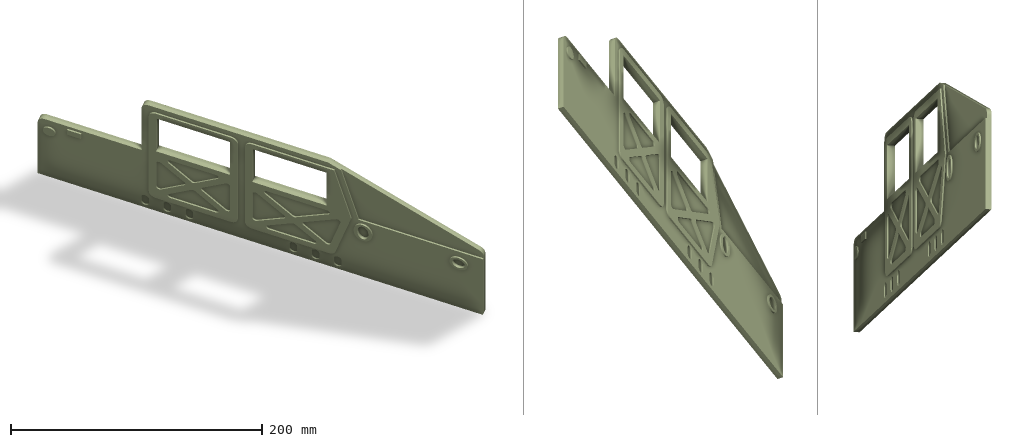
import cadquery as cq
import math

plate_thickness = 5.08
relief = 1.27
length = 381.0
roof_height = 139.7
deck_height = 76.2
cab_rear_x = 88.9
roof_front_x = 248.5
hood_front_height = 82.55
corner_radius = 6.35

door_margin = 6.35
door_bottom = 19.05
door_top = roof_height - door_margin
rear_door_left = 95.5
front_door_left = 177.8
window_width = 63.35
window_height = 44.45
door_knee_z = 75.2
door_knee_x = 268.7
front_door_right_x = 254.0
door_corner_radius = 6.35
brace_width = 6.35
pocket_corner_radius = 2.54

windshield_gap = 5.8

slot_width = 6.6
slot_height = 12.7
slot_center_z = 9.9
slot_pitch = 18.95
slots_per_group = 3
slot_group_starts = (91.85, 218.7)

tail_light_diameter = 10.6
tail_light_center = (10.1, 62.6)
marker_size = (11.8, 6.35)
marker_center = (31.4, 69.8)
headlight_center = (360.5, 60.6)
headlight_outer_diameter = 15.5
headlight_inner_diameter = 10.8
oval_center = (278.7, 61.0)
oval_outer_size = (15.875, 21.2)
oval_inner_size = (9.6, 16.5)
light_hole_depth = 2 * relief

floor_depth = plate_thickness - relief
total_thickness = plate_thickness + relief


def sketch_at(distance):
    """Sketch plane parallel to XZ, at a distance in front of the plate back."""
    return cq.Workplane("XZ", origin=(0, -distance, 0))


def near(x, z):
    """Selector for the edge along Y closest to (x, z)."""
    return cq.selectors.NearestToPointSelector((x, -plate_thickness / 2, z))


def make_plate():
    outline = [
        (0, 0),
        (length, 0),
        (length, hood_front_height),
        (roof_front_x, roof_height),
        (cab_rear_x, roof_height),
        (cab_rear_x, deck_height),
        (0, deck_height),
    ]
    plate = sketch_at(0).polyline(outline).close().extrude(plate_thickness)
    rounded_corners = [(length, hood_front_height), (cab_rear_x, roof_height), (0, deck_height)]
    for x, z in rounded_corners:
        plate = plate.edges("|Y").edges(near(x, z)).fillet(corner_radius)
    return plate


def make_hood_recess():
    lean = (door_knee_x - front_door_right_x) / (door_top - door_knee_z)
    knee_x = door_knee_x + windshield_gap
    top_x = knee_x - lean * (roof_height - door_knee_z)
    outline = [
        (knee_x, door_knee_z),
        (length, door_knee_z),
        (length, roof_height),
        (top_x, roof_height),
    ]
    return sketch_at(floor_depth).polyline(outline).close().extrude(relief)


def make_door(outline, rounded_corners):
    door = sketch_at(plate_thickness).polyline(outline).close().extrude(relief)
    for x, z in rounded_corners:
        door = door.edges("|Y").edges(near(x, z)).fillet(door_corner_radius)
    return door


def make_rear_door():
    right = rear_door_left + window_width + 2 * door_margin
    outline = [
        (rear_door_left, door_bottom),
        (right, door_bottom),
        (right, door_top),
        (rear_door_left, door_top),
    ]
    return make_door(outline, outline)


def make_front_door():
    bottom_left = (front_door_left, door_bottom)
    bottom_right = (front_door_right_x, door_bottom)
    top_left = (front_door_left, door_top)
    outline = [
        bottom_left,
        bottom_right,
        (door_knee_x, door_knee_z),
        (front_door_right_x, door_top),
        top_left,
    ]
    return make_door(outline, [bottom_left, bottom_right, top_left])


def make_window(door_left):
    center_x = door_left + door_margin + window_width / 2
    center_z = door_top - door_margin - window_height / 2
    window = sketch_at(0).center(center_x, center_z)
    return window.rect(window_width, window_height).extrude(total_thickness)


def make_brace_bar(start, end):
    run = end[0] - start[0]
    rise = end[1] - start[1]
    angle = math.degrees(math.atan2(rise, run))
    bar_length = 2 * math.hypot(run, rise)
    bar = sketch_at(plate_thickness).rect(bar_length, brace_width).extrude(relief)
    bar = bar.rotate((0, 0, 0), (0, -1, 0), angle)
    return bar.translate(((start[0] + end[0]) / 2, 0, (start[1] + end[1]) / 2))


def make_panel_pockets(bottom_left, bottom_right, top_right, top_left):
    """Four triangular pockets left between the bars of an X-shaped brace."""
    corners = [bottom_left, bottom_right, top_right, top_left]
    pockets = sketch_at(plate_thickness).polyline(corners).close().extrude(relief)
    pockets = pockets.cut(make_brace_bar(bottom_left, top_right))
    pockets = pockets.cut(make_brace_bar(top_left, bottom_right))
    return pockets.edges("|Y").fillet(pocket_corner_radius)


panel_bottom = door_bottom + door_margin
panel_top = door_top - 2 * door_margin - window_height


def make_rear_panel_pockets():
    left = rear_door_left + door_margin
    right = left + window_width
    return make_panel_pockets(
        (left, panel_bottom), (right, panel_bottom), (right, panel_top), (left, panel_top)
    )


def make_front_panel_pockets():
    """The right side runs parallel to the lower sloping edge of the door."""
    lean = (door_knee_x - front_door_right_x) / (door_knee_z - door_bottom)
    inset = door_margin * math.hypot(1, lean)

    def right_at(z):
        return front_door_right_x + lean * (z - door_bottom) - inset

    left = front_door_left + door_margin
    return make_panel_pockets(
        (left, panel_bottom),
        (right_at(panel_bottom), panel_bottom),
        (right_at(panel_top), panel_top),
        (left, panel_top),
    )


def make_sill_slots():
    centers = [
        (start + i * slot_pitch, slot_center_z)
        for start in slot_group_starts
        for i in range(slots_per_group)
    ]
    slots = sketch_at(floor_depth).pushPoints(centers)
    return slots.slot2D(slot_height, slot_width, 90).extrude(relief)


def make_lights():
    base = sketch_at(plate_thickness)
    tail_light = base.center(*tail_light_center).circle(tail_light_diameter / 2).extrude(relief)
    marker = base.center(*marker_center).rect(*marker_size).extrude(relief)
    headlight = base.center(*headlight_center).circle(headlight_outer_diameter / 2).extrude(relief)
    oval = (
        base.center(*oval_center)
        .ellipse(oval_outer_size[0] / 2, oval_outer_size[1] / 2)
        .extrude(relief)
    )
    return [tail_light, marker, headlight, oval]


def make_light_holes():
    base = sketch_at(total_thickness - light_hole_depth)
    headlight_hole = (
        base.center(*headlight_center)
        .circle(headlight_inner_diameter / 2)
        .extrude(light_hole_depth)
    )
    oval_hole = (
        base.center(*oval_center)
        .ellipse(oval_inner_size[0] / 2, oval_inner_size[1] / 2)
        .extrude(light_hole_depth)
    )
    return [headlight_hole, oval_hole]


result = make_plate().cut(make_hood_recess())
for raised in [make_rear_door(), make_front_door(), *make_lights()]:
    result = result.union(raised)
for removed in [
    make_window(rear_door_left),
    make_window(front_door_left),
    make_rear_panel_pockets(),
    make_front_panel_pockets(),
    make_sill_slots(),
    *make_light_holes(),
]:
    result = result.cut(removed)